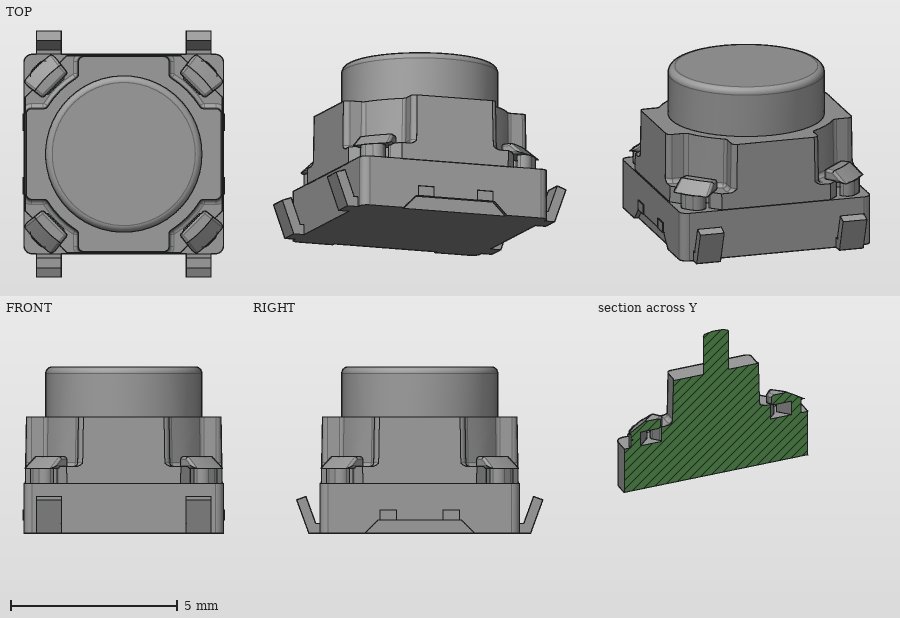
import cadquery as cq
import math

BASE_SIDE = 6.0
BASE_HEIGHT = 1.5
BASE_CORNER_RADIUS = 0.25

HOUSING_TOP = 3.5
HOUSING_TOP_SIDE = 5.85
DRAFT_ANGLE = 1.0

BUTTON_TOP = 5.0
BUTTON_DIAMETER = 4.7
BUTTON_EDGE_RADIUS = 0.2

NOTCH_FLOOR = 2.0
NOTCH_WALL_OFFSET = 1.36
NOTCH_BACK_RADIUS = 2.69
NOTCH_MOUTH_RADIUS = 0.15
NOTCH_INNER_RADIUS = 0.15
NOTCH_FLOOR_RADIUS = 0.13
NOTCH_REACH = 4.0

CHAMFER_DISTANCE = 3.30
CHAMFER_REACH = 5.0
RECESS_BACK_DISTANCE = 2.87
RECESS_WIDTH = 0.8
RECESS_BACK_RADIUS = 0.1
RECESS_MOUTH_RADIUS = 0.1

POST_WIDTH = 0.75
POST_INNER_DISTANCE = 3.37
POST_OUTER_DISTANCE = 3.73
POST_CORNER_RADIUS = 0.25
HEAD_INNER_WIDTH = 1.06
HEAD_OUTER_WIDTH = 1.24
HEAD_BOTTOM = 1.95
HEAD_TOP = 2.3
HEAD_INNER_DISTANCE = 2.91
HEAD_RIDGE_RADIUS = 3.28
HEAD_OUTER_RADIUS = 3.7
HEAD_EDGE_RADIUS = 0.08

OVERALL_LENGTH = 7.4
TERMINAL_SPACING = 4.5
TERMINAL_WIDTH = 0.75
TERMINAL_THICKNESS = 0.3
TERMINAL_ARM_LENGTH = 1.07
TERMINAL_LEAN = math.radians(20)
TERMINAL_EMBED = 0.3

OVERALL_WIDTH = 6.05
RELIEF_DEPTH = 0.13
RELIEF_HEIGHT = 0.4
RELIEF_TOP_WIDTH = 2.5
TAB_WIDTH = 0.5
TAB_SPACING = 1.9
TAB_HEIGHT = 0.3
TAB_EMBED = 0.2

CORNER_ANGLES = (45, 135, 225, 315)
SIDES = (-1, 1)


def turned(shape, angle):
    """Turn a shape about the vertical centre axis."""
    return shape.rotate((0, 0, 0), (0, 0, 1), angle)


def make_base():
    base = cq.Workplane("XY").box(BASE_SIDE, BASE_SIDE, BASE_HEIGHT, centered=(True, True, False))
    base = base.edges("|Z").fillet(BASE_CORNER_RADIUS)
    half_top = RELIEF_TOP_WIDTH / 2
    half_bottom = half_top + RELIEF_HEIGHT
    relief = (
        cq.Workplane("YZ", origin=(BASE_SIDE / 2 - RELIEF_DEPTH, 0, 0))
        .polyline([
            (-half_bottom, 0),
            (half_bottom, 0),
            (half_top, RELIEF_HEIGHT),
            (-half_top, RELIEF_HEIGHT),
        ])
        .close()
        .extrude(2 * RELIEF_DEPTH)
    )
    for angle in (0, 180):
        base = base.cut(turned(relief, angle))
    return base


def make_tab(x_side, y_side):
    """Small tab directly above the relief on an X side."""
    depth = TAB_EMBED + (OVERALL_WIDTH - BASE_SIDE) / 2
    centre_x = x_side * (OVERALL_WIDTH - depth) / 2
    return (
        cq.Workplane("XY", origin=(centre_x, y_side * TAB_SPACING / 2, RELIEF_HEIGHT))
        .box(depth, TAB_WIDTH, TAB_HEIGHT, centered=(True, True, False))
    )


def make_notch():
    """Cutter for the +X +Y notch: wall, curved back, wall, with rounded mouths."""
    wall = NOTCH_WALL_OFFSET
    back = math.sqrt(NOTCH_BACK_RADIUS ** 2 - wall ** 2)
    back_middle = NOTCH_BACK_RADIUS / math.sqrt(2)
    face = HOUSING_TOP_SIDE / 2
    mouth = wall - NOTCH_MOUTH_RADIUS
    mouth_start = face - NOTCH_MOUTH_RADIUS
    to_arc_middle = NOTCH_MOUTH_RADIUS * (1 - math.sqrt(0.5))
    mouth_middle = (wall - to_arc_middle, face - to_arc_middle)
    cutter = (
        cq.Workplane("XY", origin=(0, 0, HOUSING_TOP))
        .moveTo(mouth, NOTCH_REACH)
        .lineTo(mouth, face)
        .threePointArc(mouth_middle, (wall, mouth_start))
        .lineTo(wall, back)
        .threePointArc((back_middle, back_middle), (back, wall))
        .lineTo(mouth_start, wall)
        .threePointArc(mouth_middle[::-1], (face, mouth))
        .lineTo(NOTCH_REACH, mouth)
        .lineTo(NOTCH_REACH, NOTCH_REACH)
        .close()
        .extrude(NOTCH_FLOOR - HOUSING_TOP, taper=DRAFT_ANGLE)
    )
    middle_height = (NOTCH_FLOOR + HOUSING_TOP) / 2
    for corner in ((wall, back), (back, wall)):
        nearest = cq.selectors.NearestToPointSelector((*corner, middle_height))
        cutter = cutter.edges(nearest).fillet(NOTCH_INNER_RADIUS)
    inside = cq.selectors.BoxSelector(
        (mouth, mouth, NOTCH_FLOOR - NOTCH_FLOOR_RADIUS),
        (face, face, NOTCH_FLOOR + NOTCH_FLOOR_RADIUS),
    )
    return cutter.edges(inside).fillet(NOTCH_FLOOR_RADIUS)


def make_corner_cut():
    """Cutter on the +X axis for a flat corner with a recess behind the clip."""
    height = NOTCH_FLOOR - BASE_HEIGHT
    half_width = RECESS_WIDTH / 2
    cutter = (
        cq.Workplane("XY", origin=(0, 0, BASE_HEIGHT))
        .polyline([
            (RECESS_BACK_DISTANCE, -half_width),
            (CHAMFER_DISTANCE, -half_width),
            (CHAMFER_DISTANCE, -CHAMFER_REACH),
            (CHAMFER_REACH, -CHAMFER_REACH),
            (CHAMFER_REACH, CHAMFER_REACH),
            (CHAMFER_DISTANCE, CHAMFER_REACH),
            (CHAMFER_DISTANCE, half_width),
            (RECESS_BACK_DISTANCE, half_width),
        ])
        .close()
        .extrude(height)
    )
    middle_height = BASE_HEIGHT + height / 2
    for distance, radius in (
        (RECESS_BACK_DISTANCE, RECESS_BACK_RADIUS),
        (CHAMFER_DISTANCE, RECESS_MOUTH_RADIUS),
    ):
        for side in SIDES:
            nearest = cq.selectors.NearestToPointSelector((distance, side * half_width, middle_height))
            cutter = cutter.edges(nearest).fillet(radius)
    return cutter


def make_housing():
    housing = (
        cq.Workplane("XY", origin=(0, 0, HOUSING_TOP))
        .rect(HOUSING_TOP_SIDE, HOUSING_TOP_SIDE)
        .extrude(BASE_HEIGHT - HOUSING_TOP, taper=-DRAFT_ANGLE)
    )
    notch = make_notch()
    corner_cut = make_corner_cut()
    for angle in CORNER_ANGLES:
        housing = housing.cut(turned(notch, angle - 45))
        housing = housing.cut(turned(corner_cut, angle))
    return housing


def make_button():
    return (
        cq.Workplane("XY", origin=(0, 0, HOUSING_TOP))
        .circle(BUTTON_DIAMETER / 2)
        .extrude(BUTTON_TOP - HOUSING_TOP)
        .faces(">Z")
        .edges()
        .fillet(BUTTON_EDGE_RADIUS)
    )


def make_clip():
    """Clip on the +X axis; it is turned onto each corner diagonal."""
    post_depth = POST_OUTER_DISTANCE - POST_INNER_DISTANCE
    post = (
        cq.Workplane("XY", origin=(POST_INNER_DISTANCE + post_depth / 2, 0, BASE_HEIGHT))
        .box(post_depth, POST_WIDTH, HEAD_BOTTOM - BASE_HEIGHT, centered=(True, True, False))
        .edges("|Z and >X")
        .fillet(POST_CORNER_RADIUS)
    )
    cone = (
        cq.Workplane("XZ")
        .polyline([
            (0, HEAD_BOTTOM),
            (HEAD_OUTER_RADIUS, HEAD_BOTTOM),
            (HEAD_RIDGE_RADIUS, HEAD_TOP),
            (0, HEAD_TOP),
        ])
        .close()
        .revolve(360, (0, 0), (0, 1))
    )
    wedge = (
        cq.Workplane("XY", origin=(0, 0, HEAD_BOTTOM))
        .polyline([
            (HEAD_INNER_DISTANCE, -HEAD_INNER_WIDTH / 2),
            (HEAD_OUTER_RADIUS, -HEAD_OUTER_WIDTH / 2),
            (HEAD_OUTER_RADIUS, HEAD_OUTER_WIDTH / 2),
            (HEAD_INNER_DISTANCE, HEAD_INNER_WIDTH / 2),
        ])
        .close()
        .extrude(HEAD_TOP - HEAD_BOTTOM)
    )
    head = cone.intersect(wedge)
    head = head.faces("<X or <Y or >Y").edges().fillet(HEAD_EDGE_RADIUS)
    return post.union(head)


def make_terminal(x_side):
    """Terminal on the +Y side, flat under the base and bent up outside it."""
    sine = math.sin(TERMINAL_LEAN)
    cosine = math.cos(TERMINAL_LEAN)
    tip_y = OVERALL_LENGTH / 2
    tip_z = TERMINAL_ARM_LENGTH * cosine
    heel_y = tip_y - TERMINAL_ARM_LENGTH * sine
    inner_bend_y = heel_y - TERMINAL_THICKNESS * (1 - sine) / cosine
    embedded_y = BASE_SIDE / 2 - TERMINAL_EMBED
    start_x = x_side * TERMINAL_SPACING / 2 - TERMINAL_WIDTH / 2
    return (
        cq.Workplane("YZ", origin=(start_x, 0, 0))
        .polyline([
            (embedded_y, 0),
            (heel_y, 0),
            (tip_y, tip_z),
            (tip_y - TERMINAL_THICKNESS * cosine, tip_z + TERMINAL_THICKNESS * sine),
            (inner_bend_y, TERMINAL_THICKNESS),
            (embedded_y, TERMINAL_THICKNESS),
        ])
        .close()
        .extrude(TERMINAL_WIDTH)
    )


result = make_base().union(make_housing()).union(make_button())

clip = make_clip()
for corner_angle in CORNER_ANGLES:
    result = result.union(turned(clip, corner_angle))

for side_x in SIDES:
    terminal = make_terminal(side_x)
    result = result.union(terminal).union(turned(terminal, 180))
    for side_y in SIDES:
        result = result.union(make_tab(side_x, side_y))